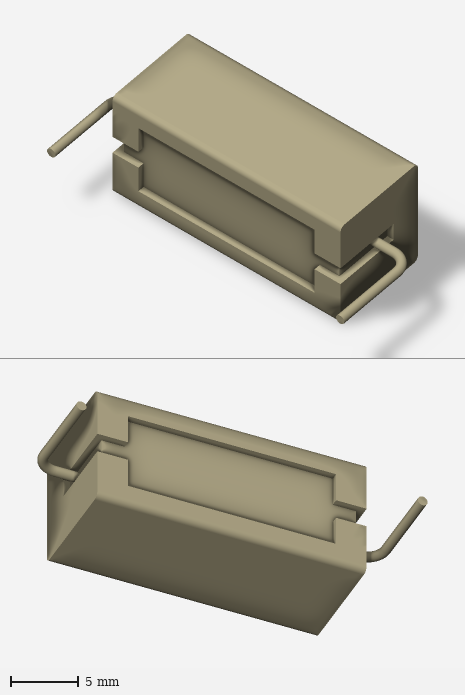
import cadquery as cq

overall_length = 28.7
overall_depth = 12.6

body_length = 22.0
body_depth = 9.0
body_height = 10.0
edge_radius = 0.5

recess_depth = 0.6
recess_end_margin = 2.5
recess_height = 6.5

slot_height = 1.64
slot_depth = 0.6
slot_reach = 6.17

wire_diameter = 0.8
wire_setback = 4.5
bend_radius = 1.5

body_end = body_length / 2
slot_floor = body_end - slot_depth
lead_x = (overall_length - wire_diameter) / 2
lead_tip_y = body_depth - overall_depth


def front_pocket(length, depth, height):
    """Block reaching back from the front face, centred on X and Z."""
    return cq.Workplane("XY").box(length, depth, height, centered=(True, False, True))


def make_body():
    """Block with rounded long edges, a front recess and two end slots."""
    body = front_pocket(body_length, body_depth, body_height).edges("|X").fillet(edge_radius)
    body = body.cut(front_pocket(body_length - 2 * recess_end_margin, recess_depth, recess_height))
    body = body.cut(front_pocket(body_length, recess_depth, slot_height))
    end_slot = front_pocket(slot_depth, slot_reach, slot_height)
    for side in (-1, 1):
        slot_center_x = side * (body_end - slot_depth / 2)
        body = body.cut(end_slot.translate((slot_center_x, 0, 0)))
    return body


def make_lead(side):
    """Wire leaving the slot floor along X and bending toward -Y."""
    path = (
        cq.Workplane("XY")
        .moveTo(side * slot_floor, wire_setback)
        .lineTo(side * (lead_x - bend_radius), wire_setback)
        .tangentArcPoint((side * lead_x, wire_setback - bend_radius), relative=False)
        .lineTo(side * lead_x, lead_tip_y)
    )
    wire_start = cq.Workplane("YZ", origin=(side * slot_floor, wire_setback, 0))
    return wire_start.circle(wire_diameter / 2).sweep(path)


result = make_body().union(make_lead(-1)).union(make_lead(1))